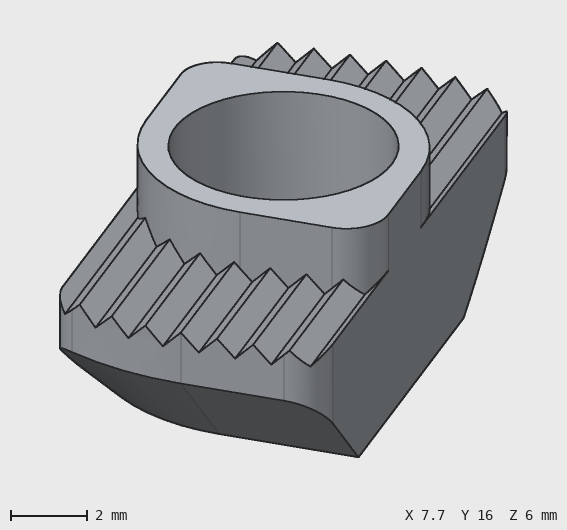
import cadquery as cq

length = 16.0
width = 7.7
height = 6.0
hole_diameter = 6.0
tooth_pitch = length / 16
boss_height = height / 4

body_corner_radius = tooth_pitch
boss_turning_radius = length / 4
boss_left_stop_radius = body_corner_radius
boss_right_stop_radius = 1.15

tooth_depth = tooth_pitch / 2
crest_height = height - boss_height
root_height = crest_height - tooth_depth
slope_height = height / 2

half_length = length / 2
half_width = width / 2
bottom_half_length = half_length - slope_height


def bar_blank():
    """Square-ended bar with both ends undercut at 45 degrees."""
    return (
        cq.Workplane("YZ")
        .moveTo(-bottom_half_length, 0)
        .lineTo(bottom_half_length, 0)
        .lineTo(half_length, slope_height)
        .lineTo(half_length, crest_height)
        .lineTo(-half_length, crest_height)
        .lineTo(-half_length, slope_height)
        .close()
        .extrude(half_width, both=True)
    )


def turned_blank():
    """Round blank with a 45 degree conical underside."""
    return (
        cq.Workplane("XZ")
        .lineTo(bottom_half_length, 0)
        .lineTo(half_length, slope_height)
        .lineTo(half_length, crest_height)
        .lineTo(0, crest_height)
        .close()
        .revolve(360, (0, 0, 0), (0, 1, 0))
    )


def quadrant(x_side, y_side):
    """Block covering one quarter of the bar."""
    return (
        cq.Workplane("XY")
        .center(x_side * half_width / 2, y_side * half_length / 2)
        .rect(half_width, half_length)
        .extrude(crest_height)
    )


def body_outline():
    """Vertical prism: square on one diagonal, turned on the other, corners rounded."""
    disc = cq.Workplane("XY").circle(half_length).extrude(crest_height)
    outline = cq.Workplane("XY").rect(width, length).extrude(crest_height)
    for side in (-1, 1):
        outline = outline.cut(quadrant(side, side).cut(disc))
    return outline.edges("|Z and (<X or >X)").fillet(body_corner_radius)


def body():
    """Bar with conical undercuts at the turned corners and flat ones at the others."""
    blank = bar_blank()
    round_blank = turned_blank()
    for side in (-1, 1):
        blank = blank.cut(quadrant(side, side).cut(round_blank))
    return blank.intersect(body_outline())


def tooth_gaps():
    """V grooves along Y, with a tooth crest on the middle plane."""
    gaps_per_side = int(half_width / tooth_pitch) + 1
    gaps = cq.Workplane("XY")
    for index in range(-gaps_per_side, gaps_per_side):
        left_crest = index * tooth_pitch
        gap = (
            cq.Workplane("XZ")
            .moveTo(left_crest, crest_height)
            .lineTo(left_crest + tooth_pitch / 2, root_height)
            .lineTo(left_crest + tooth_pitch, crest_height)
            .close()
            .extrude(half_length, both=True)
        )
        gaps = gaps.add(gap)
    return gaps.combine()


def boss():
    """Locating boss with two turning corners and two stop corners."""
    stop_left = half_width - boss_left_stop_radius
    stop_right = half_width - boss_right_stop_radius
    turn = boss_turning_radius - half_width
    return (
        cq.Workplane("XY", origin=(0, 0, root_height))
        .moveTo(-half_width, turn)
        .lineTo(-half_width, stop_left)
        .radiusArc((-stop_left, half_width), boss_left_stop_radius)
        .lineTo(-turn, half_width)
        .radiusArc((half_width, -turn), boss_turning_radius)
        .lineTo(half_width, -stop_right)
        .radiusArc((stop_right, -half_width), boss_right_stop_radius)
        .lineTo(turn, -half_width)
        .radiusArc((-half_width, turn), boss_turning_radius)
        .close()
        .extrude(height - root_height)
    )


hole = cq.Workplane("XY").circle(hole_diameter / 2).extrude(height)

result = body().cut(tooth_gaps()).union(boss()).cut(hole)